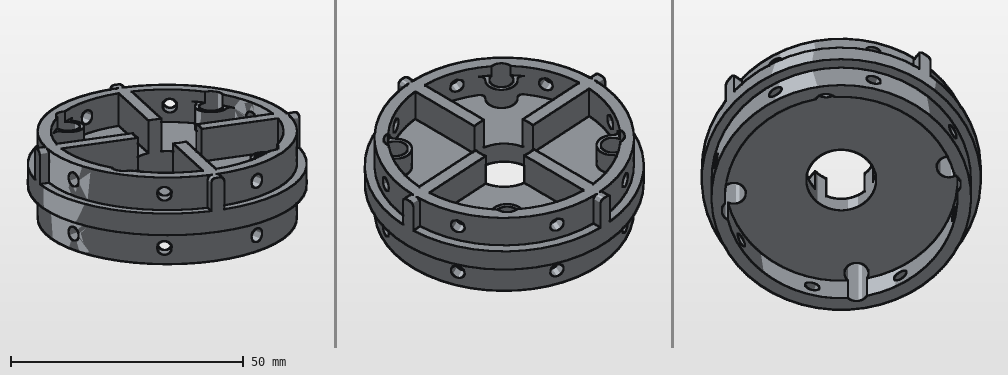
import cadquery as cq

flange_diameter = 60.0
wall_diameter = 55.8
cavity_diameter = 50.0
bore_diameter = 15.0
height = 20.0
wall_height = 7.5
flange_top = height - wall_height

rib_width = 3.0
lug_corner_radius = 1.0

boss_offset = 16.5
boss_direction = 45
boss_diameter = 6.95
boss_hole_diameter = 5.15
boss_height = 5.0
boss_top = flange_top + boss_height
boss_blend_radius = 1.15

radial_hole_diameter = 3.1
radial_hole_count = 8
radial_hole_pitch = 360 / radial_hole_count

quarter_turns = [0, 90, 180, 270]


def disc(diameter, bottom, top):
    """Cylinder on the Z axis between two heights."""
    return cq.Workplane("XY").workplane(offset=bottom).circle(diameter / 2).extrude(top - bottom)


def turned(shape, angle):
    return shape.rotate((0, 0, 0), (0, 0, 1), angle)


def boss_cylinder(diameter, bottom, top):
    """Cylinder on the axis of the screw boss in the +X +Y quarter."""
    return disc(diameter, bottom, top).translate((boss_offset, boss_offset, 0))


def make_boss_pocket():
    """Empty space around the screw bosses, blended where each boss meets the wall."""
    pocket = turned(disc(cavity_diameter, flange_top, boss_top), boss_direction)
    for angle in quarter_turns:
        pocket = pocket.cut(turned(boss_cylinder(boss_diameter, flange_top, boss_top), angle))
    return pocket.edges("|Z").fillet(boss_blend_radius)


def make_body():
    """Ring walls, flange with its closed floor, and screw bosses on that floor."""
    body = disc(wall_diameter, 0, height)
    body = body.union(disc(flange_diameter, wall_height, flange_top))
    body = body.cut(disc(cavity_diameter, 0, wall_height))
    body = body.cut(make_boss_pocket())
    return body.cut(disc(cavity_diameter, boss_top, height))


def make_ribs():
    """Cross of ribs standing on the floor and level with the rim."""
    span = (cavity_diameter + wall_diameter) / 2
    ribs = cq.Workplane("XY").workplane(offset=flange_top).rect(span, rib_width).extrude(wall_height)
    return ribs.union(turned(ribs, 90))


def make_lug():
    """Lug outside the +X side of the upper wall, with rounded top corners."""
    start = (cavity_diameter + wall_diameter) / 4
    length = flange_diameter / 2 - start
    lug = cq.Workplane("XY").box(length, rib_width, wall_height, centered=(False, True, False))
    lug = lug.edges("|X and >Z").fillet(lug_corner_radius)
    lug = lug.translate((start, 0, flange_top))
    return lug.intersect(disc(flange_diameter, flange_top, height))


def make_radial_hole(z):
    """Hole along +X through the wall, overlapping slightly into the cavity."""
    start = cavity_diameter / 2 - radial_hole_diameter / 2
    hole = cq.Workplane("YZ").workplane(offset=start).center(0, z)
    return hole.circle(radial_hole_diameter / 2).extrude(flange_diameter / 2 - start)


result = make_body().union(make_ribs())
for angle in quarter_turns:
    result = result.union(turned(make_lug(), angle))

result = result.cut(disc(bore_diameter, 0, height))
for angle in quarter_turns:
    result = result.cut(turned(boss_cylinder(boss_hole_diameter, 0, height), angle))

for z in (wall_height / 2, height - wall_height / 2):
    for i in range(radial_hole_count):
        result = result.cut(turned(make_radial_hole(z), (i + 0.5) * radial_hole_pitch))